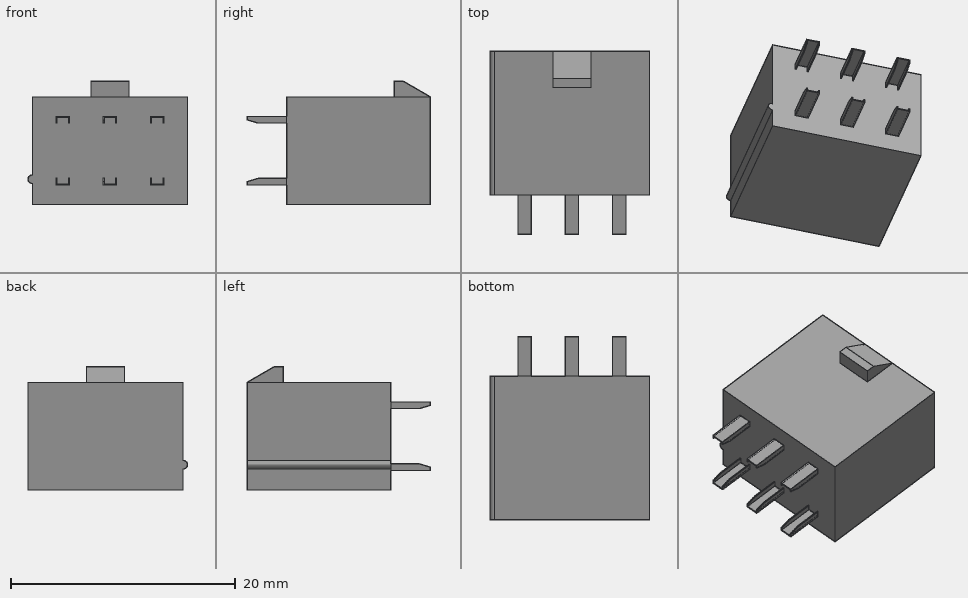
import cadquery as cq

body_width = 13.8
body_depth = 12.8
body_height = 9.6

latch_width = 3.4
latch_height = 1.4
latch_length = 3.23
latch_ramp_length = 2.43

ridge_radius = 0.39
ridge_center_height = 2.27

contact_count = 3
contact_pitch = 4.2
contact_width = 1.2
contact_height = 0.6
contact_length = 3.5
contact_wall = 0.1
contact_tip_height = 0.31
contact_taper_length = 1.0
contact_rows_span = 6.1

left_x = -body_width / 2
mid_height = body_height / 2


def make_housing():
    return cq.Workplane("XY").box(body_width, body_depth, body_height, centered=(True, False, False))


def make_latch():
    """Wedge rising from the back edge to a short flat crest."""
    latch_top = body_height + latch_height
    latch_front = body_depth - latch_length
    return (
        cq.Workplane("YZ")
        .moveTo(body_depth, body_height)
        .lineTo(body_depth - latch_ramp_length, latch_top)
        .lineTo(latch_front, latch_top)
        .lineTo(latch_front, body_height)
        .close()
        .extrude(latch_width / 2, both=True)
    )


def make_ridge():
    """Full-depth rod, half buried in the left face."""
    return (
        cq.Workplane("XZ")
        .center(left_x, ridge_center_height)
        .circle(ridge_radius)
        .extrude(-body_depth)
    )


def make_lower_contact(x):
    """Upward-open channel with side walls tapering toward the tip."""
    base = mid_height - contact_rows_span / 2
    profile = (
        cq.Workplane("YZ", origin=(x, 0, base))
        .lineTo(0, contact_height)
        .lineTo(contact_taper_length - contact_length, contact_height)
        .lineTo(-contact_length, contact_tip_height)
        .lineTo(-contact_length, 0)
        .close()
        .extrude(contact_width / 2, both=True)
    )
    channel = (
        cq.Workplane("XY", origin=(x, -contact_length, base + contact_wall))
        .box(contact_width - 2 * contact_wall, contact_length, contact_height, centered=(True, False, False))
    )
    return profile.cut(channel)


result = make_housing().union(make_latch()).union(make_ridge())

for index in range(contact_count):
    contact_x = (index - (contact_count - 1) / 2) * contact_pitch
    lower_contact = make_lower_contact(contact_x)
    upper_contact = lower_contact.mirror("XY", (0, 0, mid_height))
    result = result.union(lower_contact).union(upper_contact)